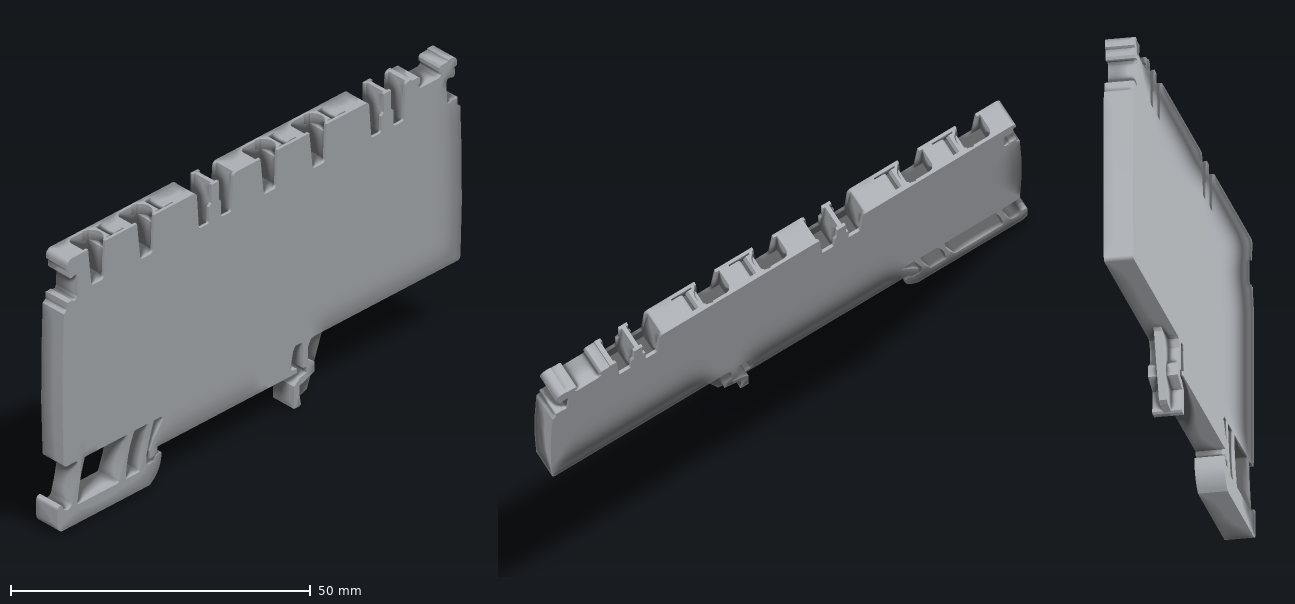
import cadquery as cq


ARC_MID = 1 - 0.5 ** 0.5

WIDTH = 5.1
HEIGHT = 53.1
MID_X = WIDTH / 2
BODY_MID_Y = 0.6
BODY_BOTTOM = 12.4
SIDE_WALL = 0.6

SECTIONS = 2
TERMINALS = 2
SECTION_PITCH = 40.0
TERMINAL_PITCH = 11.4

END_HALF = 46.0
BELLY_HALF = 46.4
SHOULDER_Z = 42.8
END_CORNER_RADIUS = 0.75
KNOB_HALF = 45.2
KNOB_RADIUS = 1.1

MARKER_MID_Y = 39.5
MARKER_FLOOR_Z = 50.5

PRONG_MID_Y = 29.7
SLOT_FLOOR_Z = 45.7
SLOT_CORNER_RADIUS = 0.5
SLOT_LIP_RADIUS = 0.8
PRONG_STEP_Z = 49.2
PRONG_STEP_RISE = 0.3
PRONG_TOP_HALF = 0.8
PRONG_ROOT_HALF = 1.4
SLOT_OUTER_TOP = 4.2
SLOT_OUTER_FLOOR = 3.8
INNER_TOP_NEAR = 0.4
INNER_TOP_FAR = 4.7
INNER_WELL_NEAR = 1.2
INNER_WELL_FAR = 3.85
INNER_WELL_FLOOR_Z = 42.2

POCKET_START_Y = 15.9
POCKET_LENGTH = 5.0
POCKET_CORNER_RADIUS = 1.1
GATE_START_Y = 15.5
GATE_TOP_LENGTH = 3.9
GATE_START_TAPER = 0.3
GATE_END_TAPER = 0.75
GATE_RADIUS = 0.7

LEAD_IN_RADIUS = 2.2
LEAD_IN_MID_Y = 14.6
LEAD_IN_DEPTH = 2.0

BUTTON_START_Y = 20.5
BUTTON_END_Y = 16.4
BUTTON_LENGTH = BUTTON_START_Y - BUTTON_END_Y
BUTTON_DEPTH = 7.5
BUTTON_MIN_X = 0.8
BUTTON_GAP = 0.3
BUTTON_WIDTH = WIDTH - SIDE_WALL - BUTTON_GAP - BUTTON_MIN_X
GROOVE_START_Y = 19.1
GROOVE_END_Y = 17.3
GROOVE_DEPTH = 1.4
GROOVE_ROUND = 0.8
GROOVE_CHAMFER = 0.5

SEAT_BOTTOM = 6.85
FOOT_FLOOR_Z = 3.7
WINDOW_RADIUS = 0.4
WEB_THICKNESS = 1.3
OVERLAP = 0.9


def side_sketch(x=0.0):
    """Workplane at height x above the -X face; its local axes are Y and Z."""
    return cq.Workplane("YZ", origin=(x, 0, 0))


def prism(points, x=0.0, thickness=WIDTH):
    return side_sketch(x).polyline(points).close().extrude(thickness)


def upper_body():
    end_steps = [
        (45.3, 43.4), (45.3, 44.9), (45.0, 44.7), (44.1, 44.8), (43.7, 44.5),
        (43.2, 44.5), (42.9, 45.05), (42.8, 49.0), (43.1, 49.5), (43.7, 49.5),
        (44.0, 49.3), (44.5, 49.3), (44.8, 49.7), (44.7, 51.1),
        (KNOB_HALF, 51.3), (KNOB_HALF, HEIGHT - KNOB_RADIUS),
    ]
    plus_end = [(BODY_MID_Y + d, z) for d, z in end_steps]
    minus_end = [(BODY_MID_Y - d, z) for d, z in reversed(end_steps)]
    knob_top_half = KNOB_HALF - KNOB_RADIUS
    knob_arc_half = KNOB_HALF - KNOB_RADIUS * ARC_MID
    knob_arc_z = HEIGHT - KNOB_RADIUS * ARC_MID
    belly_z = (BODY_BOTTOM + SHOULDER_Z) / 2
    plus_y = BODY_MID_Y + END_HALF
    minus_y = BODY_MID_Y - END_HALF
    body = (
        side_sketch()
        .moveTo(plus_y, BODY_BOTTOM)
        .threePointArc((BODY_MID_Y + BELLY_HALF, belly_z), (plus_y, SHOULDER_Z))
    )
    for y, z in plus_end:
        body = body.lineTo(y, z)
    body = (
        body.threePointArc((BODY_MID_Y + knob_arc_half, knob_arc_z), (BODY_MID_Y + knob_top_half, HEIGHT))
        .lineTo(BODY_MID_Y - knob_top_half, HEIGHT)
        .threePointArc((BODY_MID_Y - knob_arc_half, knob_arc_z), minus_end[0])
    )
    for y, z in minus_end[1:] + [(minus_y, SHOULDER_Z)]:
        body = body.lineTo(y, z)
    body = (
        body.threePointArc((BODY_MID_Y - BELLY_HALF, belly_z), (minus_y, BODY_BOTTOM))
        .close()
        .extrude(WIDTH)
    )
    return body.edges("|X and <Z").fillet(END_CORNER_RADIUS)


def marker_groove():
    half_groove = [
        (2.1, MARKER_FLOOR_Z), (2.6, 50.9), (2.6, 51.3), (2.25, 51.6), (2.25, 52.4),
        (2.5, 52.7), (4.2, 52.8), (4.3, HEIGHT),
    ]
    plus_side = [(MARKER_MID_Y + d, z) for d, z in half_groove]
    minus_side = [(MARKER_MID_Y - d, z) for d, z in reversed(half_groove)]
    return prism(plus_side + minus_side)


def bridge_slot(prong_y, side):
    """One slot beside a prong; side is +1 or -1 along Y."""
    outline = [
        (PRONG_TOP_HALF, HEIGHT),
        (PRONG_TOP_HALF, PRONG_STEP_Z + PRONG_STEP_RISE),
        (PRONG_ROOT_HALF, PRONG_STEP_Z - PRONG_STEP_RISE),
        (PRONG_ROOT_HALF, SLOT_FLOOR_Z),
        (SLOT_OUTER_FLOOR, SLOT_FLOOR_Z),
        (SLOT_OUTER_TOP, HEIGHT - SLOT_LIP_RADIUS),
    ]
    lip_mid = SLOT_LIP_RADIUS * ARC_MID
    opening = (
        side_sketch()
        .polyline([(prong_y + side * d, z) for d, z in outline])
        .threePointArc(
            (prong_y + side * (SLOT_OUTER_TOP + lip_mid), HEIGHT - lip_mid),
            (prong_y + side * (SLOT_OUTER_TOP + SLOT_LIP_RADIUS), HEIGHT),
        )
        .close()
        .extrude(WIDTH)
    )
    opening = opening.edges("|X and <Z").fillet(SLOT_CORNER_RADIUS)
    core = [
        (INNER_TOP_NEAR, HEIGHT),
        (INNER_WELL_NEAR, SLOT_FLOOR_Z),
        (INNER_WELL_NEAR, INNER_WELL_FLOOR_Z),
        (INNER_WELL_FAR, INNER_WELL_FLOOR_Z),
        (INNER_WELL_FAR, SLOT_FLOOR_Z),
        (INNER_TOP_FAR, HEIGHT),
    ]
    well = prism([(prong_y + side * d, z) for d, z in core], SIDE_WALL, WIDTH - 2 * SIDE_WALL)
    return opening.union(well)


def lead_in(shift):
    return (
        cq.Workplane("XY", origin=(MID_X, LEAD_IN_MID_Y - shift, HEIGHT - LEAD_IN_DEPTH))
        .circle(LEAD_IN_RADIUS)
        .extrude(LEAD_IN_DEPTH)
        .intersect(
            cq.Workplane("XY")
            .box(WIDTH, LEAD_IN_RADIUS, HEIGHT, centered=False)
            .translate((0, LEAD_IN_MID_Y - shift, 0))
        )
    )


def wire_pocket(shift):
    start_y = POCKET_START_Y - shift
    pocket = (
        cq.Workplane("XY")
        .box(WIDTH - 2 * SIDE_WALL, POCKET_LENGTH, HEIGHT - SLOT_FLOOR_Z, centered=False)
        .translate((SIDE_WALL, start_y - POCKET_LENGTH, SLOT_FLOOR_Z))
        .edges("|Z and <X and <Y")
        .fillet(POCKET_CORNER_RADIUS)
    )
    gate_start = GATE_START_Y - shift
    gate_end = gate_start - GATE_TOP_LENGTH
    gate = prism(
        [
            (gate_start, HEIGHT),
            (gate_start - GATE_START_TAPER, SLOT_FLOOR_Z),
            (gate_end + GATE_END_TAPER, SLOT_FLOOR_Z),
            (gate_end, HEIGHT),
        ],
        WIDTH - SIDE_WALL,
        SIDE_WALL,
    )
    gate = gate.edges("|X and <Z").fillet(GATE_RADIUS)
    return pocket.union(gate).union(lead_in(shift))


def button_recess(shift):
    return (
        cq.Workplane("XY")
        .box(BUTTON_WIDTH + BUTTON_GAP, BUTTON_LENGTH, BUTTON_DEPTH, centered=False)
        .translate((BUTTON_MIN_X, BUTTON_END_Y - shift, HEIGHT - BUTTON_DEPTH))
    )


def rail_seat():
    return prism([
        (8.35, BODY_BOTTOM + OVERLAP), (8.35, BODY_BOTTOM), (7.8, 11.6), (7.1, 8.35),
        (7.6, 7.8), (8.6, 7.7), (8.6, SEAT_BOTTOM), (-23.65, SEAT_BOTTOM), (-23.8, 6.0),
        (-24.4, 5.35), (-25.4, 5.2), (-25.5, SEAT_BOTTOM), (-24.7, 8.6), (-22.3, 11.7),
        (-22.8, BODY_BOTTOM), (-22.8, BODY_BOTTOM + OVERLAP),
    ])


def latch_foot():
    rim = prism([
        (12.8, BODY_BOTTOM + OVERLAP), (12.8, BODY_BOTTOM), (11.9, 12.2), (11.2, 10.9),
        (11.2, 8.35), (12.7, 7.3), (12.7, 5.35), (9.3, 4.0), (9.3, 2.1), (9.6, 0.3),
        (9.2, 0), (8.0, 0), (8.0, 4.4), (9.4, 5.5), (11.0, 5.9), (11.1, 6.85),
        (10.7, 7.1), (10.0, 7.2), (10.0, 12.0), (9.8, BODY_BOTTOM),
        (9.8, BODY_BOTTOM + OVERLAP),
    ])
    web = prism(
        [
            (17.2, BODY_BOTTOM + OVERLAP), (17.2, BODY_BOTTOM), (16.6, 11.8), (12.8, 0.9),
            (11.8, 0.6), (9.4, 0.1), (8.6, 2.1), (8.6, 4.5), (11.7, 5.7), (11.7, 7.5),
            (10.5, 8.0), (10.5, BODY_BOTTOM + OVERLAP),
        ],
        MID_X - WEB_THICKNESS / 2,
        WEB_THICKNESS,
    )
    return rim.union(web)


def window(top_start, top_end, arm_end, floor_end, floor_start, arm_start):
    """Opening between two bent arms of the fixed foot; the two arm points set the bends."""
    return (
        side_sketch()
        .moveTo(top_start, BODY_BOTTOM)
        .lineTo(top_end, BODY_BOTTOM)
        .threePointArc(arm_end, (floor_end, FOOT_FLOOR_Z))
        .lineTo(floor_start, FOOT_FLOOR_Z)
        .threePointArc(arm_start, (top_start, BODY_BOTTOM))
        .close()
        .extrude(WIDTH)
        .edges("|X")
        .fillet(WINDOW_RADIUS)
    )


def fixed_foot():
    foot = (
        side_sketch()
        .moveTo(-24.6, BODY_BOTTOM + OVERLAP)
        .lineTo(-24.6, BODY_BOTTOM)
        .threePointArc((-25.5, 9.2), (-26.3, 6.3))
        .lineTo(-26.3, 4.7)
        .lineTo(-25.8, 4.2)
        .lineTo(-24.4, 4.2)
        .lineTo(-23.9, 5.1)
        .lineTo(-23.4, 5.35)
        .lineTo(-22.8, 5.35)
        .threePointArc((-23.5, 2.25), (-25.5, 0))
        .lineTo(-45.9, 0)
        .threePointArc((-46.6, 0.6), (-46.9, 1.4))
        .lineTo(-46.9, 4.5)
        .threePointArc((-46.3, 5.2), (-45.6, 4.5))
        .threePointArc((-44.5, FOOT_FLOOR_Z), (-43.45, 4.5))
        .threePointArc((-42.5, 8.3), (-41.95, 11.8))
        .lineTo(-42.4, BODY_BOTTOM)
        .lineTo(-42.4, BODY_BOTTOM + OVERLAP)
        .close()
        .extrude(WIDTH)
    )
    narrow = window(-25.8, -29.1, (-30.3, 9.0), -31.1, -27.9, (-26.5, 8.3))
    wide = window(-30.6, -40.5, (-41.7, 8.3), -42.3, -32.7, (-31.25, 7.9))
    return foot.cut(narrow).cut(wide)


def make_housing(terminal_shifts):
    housing = upper_body().union(rail_seat()).union(latch_foot()).union(fixed_foot())
    housing = housing.cut(marker_groove())
    for section in range(SECTIONS):
        for side in (1, -1):
            housing = housing.cut(bridge_slot(PRONG_MID_Y - section * SECTION_PITCH, side))
    for shift in terminal_shifts:
        housing = housing.cut(wire_pocket(shift)).cut(button_recess(shift))
    return housing


def make_button(shift):
    """Push button with a screwdriver groove across its top."""
    floor_z = HEIGHT - GROOVE_DEPTH
    button = (
        cq.Workplane("XY")
        .box(BUTTON_WIDTH, BUTTON_LENGTH, BUTTON_DEPTH, centered=False)
        .translate((BUTTON_MIN_X, BUTTON_END_Y, HEIGHT - BUTTON_DEPTH))
    )
    round_mid = GROOVE_ROUND * ARC_MID
    groove = (
        side_sketch()
        .moveTo(GROOVE_START_Y, HEIGHT)
        .threePointArc(
            (GROOVE_START_Y - GROOVE_ROUND + round_mid, HEIGHT - round_mid),
            (GROOVE_START_Y - GROOVE_ROUND, HEIGHT - GROOVE_ROUND),
        )
        .lineTo(GROOVE_START_Y - GROOVE_ROUND, floor_z)
        .lineTo(GROOVE_END_Y + GROOVE_CHAMFER, floor_z)
        .lineTo(GROOVE_END_Y + GROOVE_CHAMFER, HEIGHT - GROOVE_CHAMFER)
        .lineTo(GROOVE_END_Y, HEIGHT)
        .close()
        .extrude(WIDTH)
    )
    return button.cut(groove).translate((0, -shift, 0)).cut(lead_in(shift))


terminal_shifts = [
    section * SECTION_PITCH + terminal * TERMINAL_PITCH
    for section in range(SECTIONS)
    for terminal in range(TERMINALS)
]
housing = make_housing(terminal_shifts)
buttons = [make_button(shift) for shift in terminal_shifts]

result = cq.Compound.makeCompound([housing.val(), *[button.val() for button in buttons]])